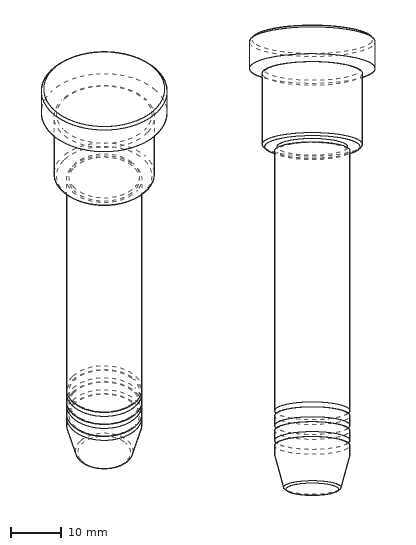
import cadquery as cq
import math

total_length = 92.0
head_diameter = 25.0
collar_diameter = 20.0
shaft_diameter = 15.0

head_height = 6.0
collar_bottom_depth = 22.0
tip_height = 7.0
tip_half_angle = 15.0

chamfer = 0.5
groove_radius = 0.5
tip_chamfer = 0.39
neck_length = 0.8
neck_diameter = 14.1

ring_count = 3
ring_pitch = 3.0
first_ring_height = 9.5

head_bottom = total_length - head_height
collar_bottom = total_length - collar_bottom_depth
shaft_top = collar_bottom - neck_length


def cylinder(diameter, bottom, top):
    """Solid round section between two heights."""
    return cq.Workplane("XY").workplane(offset=bottom).circle(diameter / 2).extrude(top - bottom)


def groove(diameter, center_height):
    """Ring cutter with a round section centred on the surface of a cylinder."""
    return (
        cq.Workplane("XZ")
        .center(diameter / 2, center_height)
        .circle(groove_radius)
        .revolve(360, (-diameter / 2, 0, 0), (-diameter / 2, 1, 0))
    )


def tapered_tip():
    """Conical lead-in with a chamfered end face."""
    shaft_radius = shaft_diameter / 2
    end_radius = shaft_radius - tip_height * math.tan(math.radians(tip_half_angle))
    return (
        cq.Workplane("XZ")
        .lineTo(end_radius, 0)
        .lineTo(shaft_radius, tip_height)
        .lineTo(0, tip_height)
        .close()
        .revolve(360, (0, 0, 0), (0, 1, 0))
        .faces("<Z")
        .chamfer(tip_chamfer)
    )


head = cylinder(head_diameter, head_bottom, total_length).faces(">Z").chamfer(chamfer)
collar = cylinder(collar_diameter, collar_bottom, head_bottom).faces("<Z").chamfer(chamfer)
neck = cylinder(neck_diameter, shaft_top, collar_bottom)
shaft = cylinder(shaft_diameter, tip_height, shaft_top)
result = head.union(collar).union(neck).union(shaft).union(tapered_tip())

result = result.cut(groove(collar_diameter, head_bottom - groove_radius))

for index in range(ring_count):
    result = result.cut(groove(shaft_diameter, first_ring_height + index * ring_pitch))